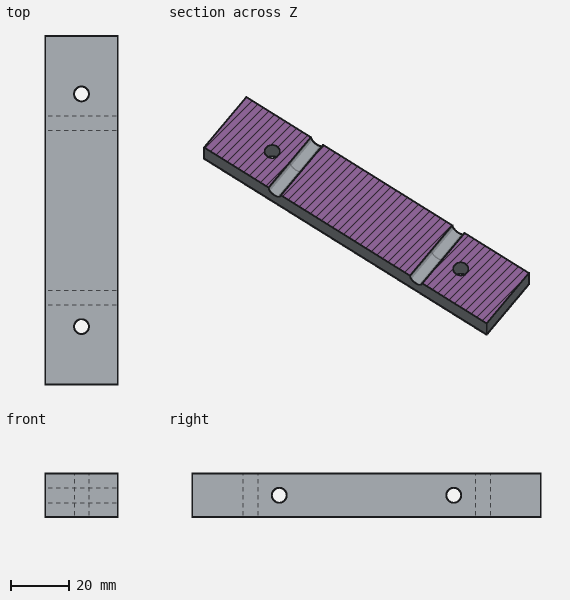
import cadquery as cq

width = 25.0
length = 120.0
height = 15.0

hole_diameter = 5.0
vertical_hole_spacing = length * 2 / 3
cross_hole_spacing = length / 2


def hole_pair(plane, spacing, depth):
    """Two cylinders spaced along Y, reaching depth / 2 to each side of the plane."""
    return (
        cq.Workplane(plane)
        .pushPoints(points_along_y(plane, spacing))
        .circle(hole_diameter / 2)
        .extrude(depth / 2, both=True)
    )


def points_along_y(plane, spacing):
    """Local points at Y = +/- spacing / 2; Y is the first axis of the YZ plane."""
    offsets = (-spacing / 2, spacing / 2)
    if plane == "YZ":
        return [(offset, 0) for offset in offsets]
    return [(0, offset) for offset in offsets]


bar = cq.Workplane("XY").box(width, length, height)
vertical_holes = hole_pair("XY", vertical_hole_spacing, height)
cross_holes = hole_pair("YZ", cross_hole_spacing, width)

result = bar.cut(vertical_holes).cut(cross_holes)